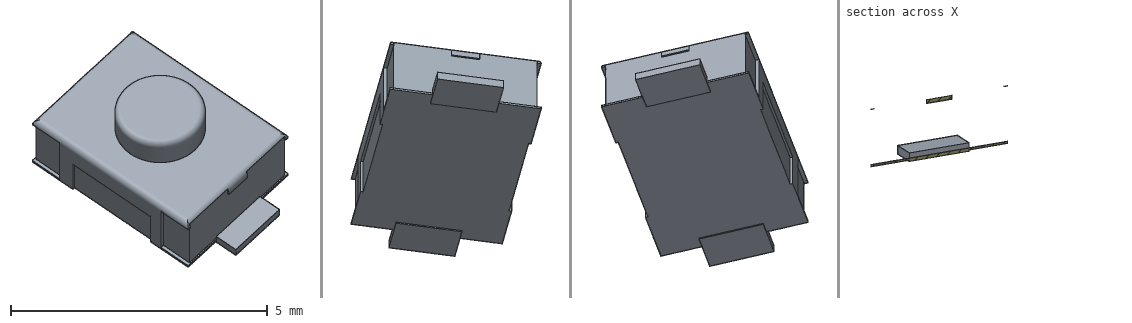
import cadquery as cq

overall_length = 5.0
housing_length = 4.0
housing_width = 3.0
overall_height = 1.93

base_bottom = 0.03
base_top = 0.075
cover_top = 1.35

cover_edge_radius = 0.135
flap_length = 2.61
flap_thickness = 0.075
tab_width = 0.56
tab_drop = 0.075

end_setback = 0.03
core_length = housing_length - 2 * end_setback
core_width = housing_width - 2 * flap_thickness

window_length = 1.99
window_center_x = 0.035
window_top = 0.825
window_depth = 0.05

lead_width = 1.31
lead_thickness = 0.18
lead_foot_overlap = 0.23

button_radius = 0.885
button_edge_radius = 0.125


def block(length, width, bottom, top, x=0, y=0):
    """Box centred on (x, y) that spans the heights bottom to top."""
    return cq.Workplane("XY", origin=(x, y, bottom)).rect(length, width).extrude(top - bottom)


def make_cover():
    """Solid cover with rounded top edges, trimmed to leave its rim, flaps and end tabs."""
    cover = block(housing_length, housing_width, base_bottom, cover_top)
    cover = cover.faces(">Z").edges().fillet(cover_edge_radius)

    rim_bottom = cover_top - cover_edge_radius
    kept = block(housing_length, housing_width, rim_bottom, cover_top)
    for side in (-1, 1):
        slot_x = side * (housing_length - end_setback) / 2
        kept = kept.cut(block(end_setback, core_width, rim_bottom, cover_top, slot_x))

    tabs = block(housing_length, tab_width, rim_bottom - tab_drop, cover_top)
    flaps = block(flap_length, housing_width, base_bottom, cover_top)
    kept = kept.union(tabs).union(flaps)
    return cover.intersect(kept)


def make_core_and_base():
    """Plastic core standing on a thin base plate."""
    core = block(core_length, core_width, base_bottom, cover_top - cover_edge_radius)
    base = block(housing_length, housing_width, base_bottom, base_top)
    return core.union(base)


def make_window(side):
    """Cutter for the window of the flap on one long side (side is -1 or 1), open at the bottom."""
    y = side * (housing_width - window_depth) / 2
    return block(window_length, window_depth, base_bottom, window_top, window_center_x, y)


def make_lead(side):
    """Lead outside the housing with a thin foot that runs under the base plate."""
    lead_length = (overall_length - housing_length) / 2
    lead_x = side * (housing_length + lead_length) / 2
    foot_length = lead_length + lead_foot_overlap
    foot_x = side * (overall_length - foot_length) / 2
    lead = block(lead_length, lead_width, 0, lead_thickness, lead_x)
    return lead.union(block(foot_length, lead_width, 0, base_bottom, foot_x))


def make_button():
    """Round push button with a rounded top edge."""
    seat = cq.Workplane("XY", origin=(0, 0, cover_top))
    button = seat.circle(button_radius).extrude(overall_height - cover_top)
    return button.faces(">Z").edges().fillet(button_edge_radius)


result = make_core_and_base().union(make_cover())
for side in (-1, 1):
    result = result.cut(make_window(side))
    result = result.union(make_lead(side))
result = result.union(make_button())